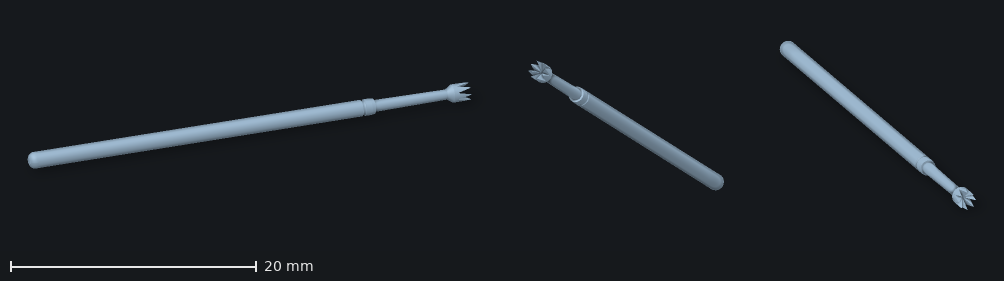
import cadquery as cq
import math


total_length = 38.4
head_length = 1.5
head_taper_length = 0.5
plunger_length = 8.35
lip_length = 0.3
groove_station = 9.3
groove_width = 0.3
tail_length = 0.6

head_diameter = 1.5
stem_neck_diameter = 0.84
stem_base_diameter = 0.98
barrel_diameter = 1.36
lip_diameter = 1.3
tail_flat_diameter = 0.6

tooth_count = 8
notch_depth = 1.2
groove_depth = 0.1

head_radius = head_diameter / 2
stem_neck_radius = stem_neck_diameter / 2
stem_base_radius = stem_base_diameter / 2
barrel_radius = barrel_diameter / 2
lip_radius = lip_diameter / 2
tail_flat_radius = tail_flat_diameter / 2

stem_start = head_length + head_taper_length
tail_start = total_length - tail_length


def probe_body():
    """Plunger and barrel turned as one profile about the Y axis."""
    arc_middle = math.pi / 4
    tail_drop = barrel_radius - tail_flat_radius
    tail_mid_radius = tail_flat_radius + tail_drop * math.cos(arc_middle)
    tail_mid_station = tail_start + tail_length * math.sin(arc_middle)
    profile = (
        cq.Workplane("XY")
        .moveTo(0, 0)
        .lineTo(head_radius, 0)
        .lineTo(head_radius, -head_length)
        .lineTo(stem_neck_radius, -stem_start)
        .lineTo(stem_base_radius, -plunger_length)
        .lineTo(lip_radius, -plunger_length)
        .lineTo(barrel_radius, -(plunger_length + lip_length))
        .lineTo(barrel_radius, -(groove_station - groove_width / 2))
        .threePointArc(
            (barrel_radius - groove_depth, -groove_station),
            (barrel_radius, -(groove_station + groove_width / 2)),
        )
        .lineTo(barrel_radius, -tail_start)
        .threePointArc(
            (tail_mid_radius, -tail_mid_station),
            (tail_flat_radius, -total_length),
        )
        .lineTo(0, -total_length)
        .close()
    )
    return profile.revolve(360, (0, 0, 0), (0, 1, 0))


def crown_notch(angle):
    """V groove across the head, just wide enough to leave sharp teeth at the rim."""
    half_pitch = math.pi / tooth_count
    half_width = head_radius * math.sin(half_pitch)
    notch = (
        cq.Workplane("XY")
        .moveTo(-half_width, 0)
        .lineTo(half_width, 0)
        .lineTo(0, -notch_depth)
        .close()
        .extrude(head_radius, both=True)
    )
    return notch.rotate((0, 0, 0), (0, 1, 0), angle)


def cut_crown(body):
    """Each diametral notch separates two opposite pairs of teeth."""
    pitch = 360 / tooth_count
    for index in range(tooth_count // 2):
        body = body.cut(crown_notch((index + 0.5) * pitch))
    return body


result = cut_crown(probe_body())